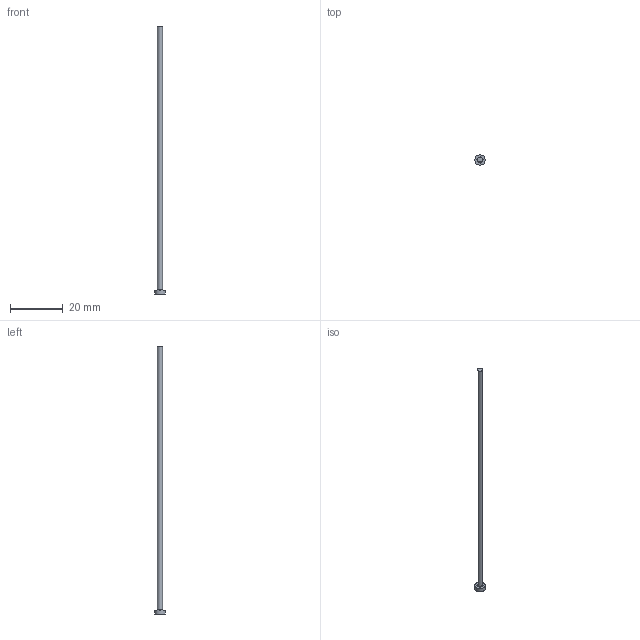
import cadquery as cq

head_diameter = 4.0
head_height = 1.5
shaft_diameter = 1.9
shaft_length = 100.0
root_fillet_radius = 0.2


def make_head():
    return cq.Workplane("XY").circle(head_diameter / 2).extrude(head_height)


def make_shaft():
    return (
        cq.Workplane("XY")
        .workplane(offset=head_height)
        .circle(shaft_diameter / 2)
        .extrude(shaft_length)
    )


def round_shaft_root(pin):
    root_edge = cq.selectors.RadiusNthSelector(0)
    head_top_face = pin.faces(cq.selectors.NearestToPointSelector((0, 0, head_height)))
    return head_top_face.edges(root_edge).fillet(root_fillet_radius)


result = round_shaft_root(make_head().union(make_shaft()))